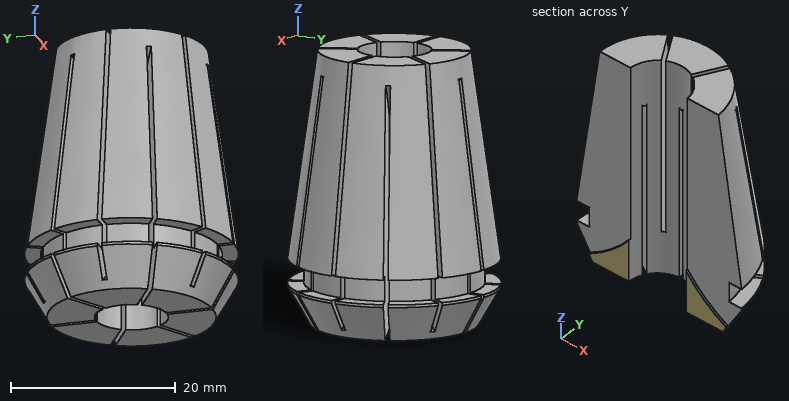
import cadquery as cq
import math

total_height = 34.0
max_radius = 13.005
bore_radius = 4.5
groove_radius = 11.0
body_taper = math.radians(8)
nose_taper = math.radians(30)

nose_cone_height = 4.73
rim_height = 5.05
groove_top = 8.13

slots_per_end = 6
slot_pitch = 360 / slots_per_end
slot_width = 0.58
blade_radius = 20.4
top_slot_bore_floor = 6.7
top_slot_cone_floor = 1.05
nose_slot_bore_floor = 26.95
nose_slot_cone_floor = 31.55
slot_inner_reach = bore_radius * 0.8
slot_outer_reach = max_radius + slot_width


def nose_cone_radius(z):
    return max_radius - (nose_cone_height - z) * math.tan(nose_taper)


def body_cone_radius(z):
    return max_radius - (z - groove_top) * math.tan(body_taper)


def make_body():
    """Body of revolution: nose cone, rim, nut groove and long taper around the bore."""
    profile = [
        (bore_radius, 0),
        (nose_cone_radius(0), 0),
        (max_radius, nose_cone_height),
        (max_radius, rim_height),
        (groove_radius, rim_height),
        (groove_radius, groove_top),
        (max_radius, groove_top),
        (body_cone_radius(total_height), total_height),
        (bore_radius, total_height),
    ]
    return cq.Workplane("XZ").polyline(profile).close().revolve(360, (0, 0), (0, 1))


def make_slot_cutter(bore_floor, cone_radius, cone_floor, open_z):
    """Slot along +X whose floor is a saw-blade arc through the bore wall and the cone surface.

    The slot runs from that floor to its open end at open_z.
    """
    run = cone_radius - bore_radius
    rise = cone_floor - bore_floor
    chord = math.hypot(run, rise)
    center_offset = math.sqrt(blade_radius**2 - (chord / 2) ** 2)
    opening = 1 if open_z > bore_floor else -1

    center_x = (bore_radius + cone_radius) / 2 + center_offset * abs(rise) / chord
    center_z = (bore_floor + cone_floor) / 2 + opening * center_offset * run / chord

    def floor_point(x):
        return x, center_z - opening * math.sqrt(blade_radius**2 - (x - center_x) ** 2)

    return (
        cq.Workplane("XZ")
        .moveTo(slot_inner_reach, open_z)
        .lineTo(*floor_point(slot_inner_reach))
        .threePointArc(floor_point(bore_radius), floor_point(slot_outer_reach))
        .lineTo(slot_outer_reach, open_z)
        .close()
        .extrude(slot_width / 2, both=True)
    )


def cut_slot_ring(body, cutter, first_angle):
    for i in range(slots_per_end):
        angle = first_angle + i * slot_pitch
        body = body.cut(cutter.rotate((0, 0, 0), (0, 0, 1), angle))
    return body


top_slot = make_slot_cutter(
    top_slot_bore_floor, nose_cone_radius(top_slot_cone_floor), top_slot_cone_floor, total_height
)
nose_slot = make_slot_cutter(
    nose_slot_bore_floor, body_cone_radius(nose_slot_cone_floor), nose_slot_cone_floor, 0
)

result = make_body()
result = cut_slot_ring(result, top_slot, 0)
result = cut_slot_ring(result, nose_slot, slot_pitch / 2)